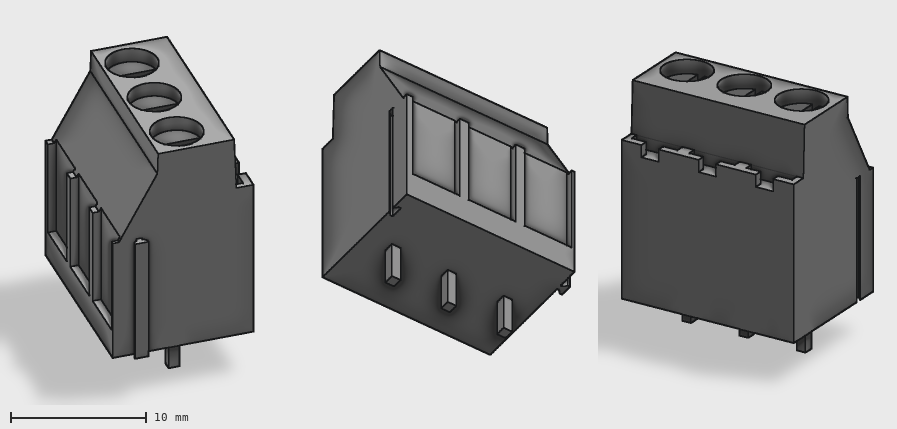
import cadquery as cq


pole_count = 3
pitch = 5.0
pole_row_offset = 0.05
body_width = 15.0
body_depth = 11.0
body_height = 17.1
pin_length = 3.2

front_ledge_height = 10.0
front_ledge_depth = 0.49
slope_top_height = 15.37
slope_top_y = 3.5
top_front_y = 3.55
top_back_y = 9.5
back_ledge_height = 12.83
back_ledge_y = 9.66

window_width = 4.2
window_floor_height = 2.31
window_depth = 0.65
window_offset = 0.1

screw_diameter = 3.98
screw_y = 5.87
screw_well_depth = 1.15
driver_slot_width = 0.6
driver_slot_depth = 0.6

tee_bar_width = 3.98
tee_stem_width = 1.5
tee_stem_length = 0.65
tee_depth = 1.0

pin_width = 0.77
pin_thickness = 0.85
pin_y = 5.52

dovetail_y = 2.05
dovetail_neck_width = 0.45
dovetail_head_width = 1.05
dovetail_neck_length = 0.15
dovetail_flare_end = 0.45
dovetail_length = 0.65

pole_positions = [(i - (pole_count - 1) / 2) * pitch + pole_row_offset for i in range(pole_count)]


def box(width, depth, height, x_centre, y_min, z_min):
    """Box centred on x_centre, growing from y_min and z_min."""
    return (
        cq.Workplane("XY")
        .box(width, depth, height, centered=(True, False, False))
        .translate((x_centre, y_min, z_min))
    )


def make_body():
    profile = [
        (0, 0),
        (0, front_ledge_height),
        (front_ledge_depth, front_ledge_height),
        (slope_top_y, slope_top_height),
        (top_front_y, body_height),
        (top_back_y, body_height),
        (back_ledge_y, back_ledge_height),
        (body_depth, back_ledge_height),
        (body_depth, 0),
    ]
    return cq.Workplane("YZ").polyline(profile).close().extrude(body_width / 2, both=True)


def make_dovetail(base_x):
    """Dovetail bar widening toward +X from its neck at base_x, up to the front ledge height."""
    half_neck = dovetail_neck_width / 2
    half_head = dovetail_head_width / 2
    outline = [
        (0, -half_neck),
        (dovetail_neck_length, -half_neck),
        (dovetail_flare_end, -half_head),
        (dovetail_length, -half_head),
        (dovetail_length, half_head),
        (dovetail_flare_end, half_head),
        (dovetail_neck_length, half_neck),
        (0, half_neck),
    ]
    bar = cq.Workplane("XY").polyline(outline).close().extrude(front_ledge_height)
    return bar.translate((base_x, dovetail_y, 0))


def make_window(x):
    height = body_height - window_floor_height
    return box(window_width, window_depth, height, x + window_offset, 0, window_floor_height)


def make_screw_well(x):
    """Round well above the screw head, with the driver slot sunk into the head."""
    radius = screw_diameter / 2
    well_floor = body_height - screw_well_depth
    slot_floor = well_floor - driver_slot_depth
    bore = (
        cq.Workplane("XY")
        .circle(radius)
        .extrude(screw_well_depth + driver_slot_depth)
        .translate((x, screw_y, slot_floor))
    )
    screw_head = box(screw_diameter, screw_diameter, driver_slot_depth, x, screw_y - radius, slot_floor)
    slot = box(driver_slot_width, screw_diameter, driver_slot_depth, x, screw_y - radius, slot_floor)
    return bore.cut(screw_head.cut(slot))


def make_tee_pocket(x):
    floor = back_ledge_height - tee_depth
    stem_y = body_depth - tee_stem_length
    bar = box(tee_bar_width, stem_y - back_ledge_y, tee_depth, x, back_ledge_y, floor)
    stem = box(tee_stem_width, tee_stem_length, tee_depth, x, stem_y, floor)
    return bar.union(stem)


def make_pin(x):
    return box(pin_width, pin_thickness, pin_length, x, pin_y - pin_thickness / 2, -pin_length)


result = make_body()
result = result.union(make_dovetail(body_width / 2))
result = result.cut(make_dovetail(-body_width / 2 - dovetail_neck_length))
for pole_x in pole_positions:
    result = result.cut(make_window(pole_x))
    result = result.cut(make_screw_well(pole_x))
    result = result.cut(make_tee_pocket(pole_x))
    result = result.union(make_pin(pole_x))